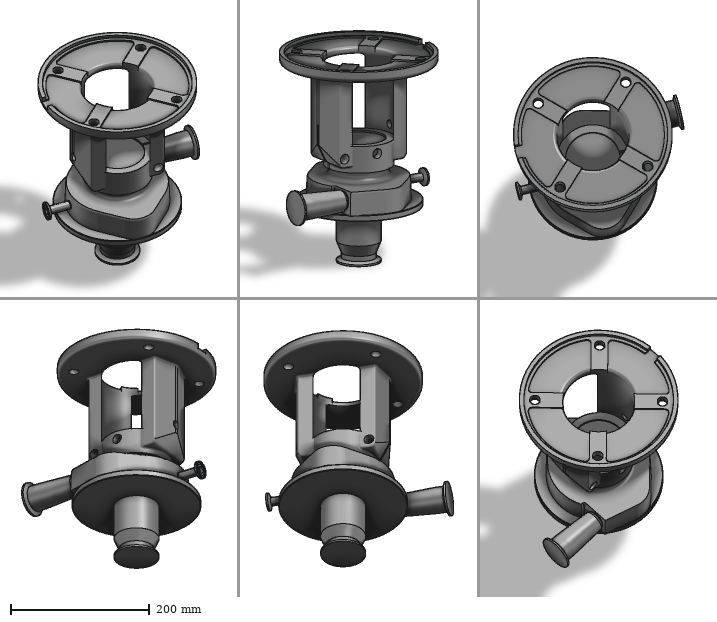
import cadquery as cq
import math

total_height = 314
plate_bottom = 297.5
collar_top = 185.3
collar_bottom = 145.5
casing_top = 129.0
casing_bottom = 93.5
base_bottom = 84.0

plate_radius = 115.0
plate_edge_fillet = 6.3
rim_inner_radius = 108.3
spoke_level = 309.0
pocket_level = 306.5
pocket_radius = 103.5
pocket_corner_fillet = 6.3
spoke_width = 24.5
bore_radius = 52.0
bore_edge_fillet = 5.5
notch_width = 20.0
bolt_circle_radius = 92.3
bolt_hole_radius = 7.5

leg_half_width = 38.5
leg_shoulder = 57.8
leg_ridge = 69.7
ridge_width = 5.3
leg_bottom = 154.5
slope_top = 184.0
slope_angle = 27
leg_toe_fillet = 9.5
leg_edge_fillet = 2.5
leg_root_fillet = 5.0
collar_root_fillet = 3
peep_hole_radius = 6.3
peep_hole_level = 197.8

collar_radius = 51.2
shaft_radius = 39.5
shaft_recess = 2.8
slit_width = 3
slit_top = 213.5
screw_hole_radius = 7.2
screw_hole_offset = 48.0
screw_hole_level = 168.3
side_hole_level = 172.7
neck_radius = 44
neck_fillet = 9.7

lobe_offset = 58.5
lobe_radius = 35.0
tangent_angle = 45
casing_radius = lobe_offset * math.cos(math.radians(tangent_angle)) + lobe_radius
casing_back = 62.8
outlet_wall_end = -34.5
outlet_wall_angle = 15
casing_draft = 2
casing_chamfer_height = 3
casing_chamfer_run = 1.0
base_radius = 93.3
base_chamfer = 1.0

inlet_radius = 25.5
inlet_wide_radius = 32.5
inlet_cone_start = 13.5
inlet_cone_end = 30.8
outlet_radius = 19.0
outlet_root_radius = 16.0
outlet_flange_radius = 25.5
outlet_end = 144.0
outlet_level = 113
outlet_straight = 19.8
outlet_root = 66.5
outlet_foot_radius = 13.5
drain_radius = 6.3
drain_flange_radius = 13.2
drain_bore_radius = 5.0
drain_end = 112.5
drain_level = 110.2
drain_groove_radius = 9.7
drain_groove_size = 1.3
ferrule_rim = 2.8
ferrule_height = 5.5
pipe_embed = 3

pick_margin = 0.3


def cylinder(radius, bottom, top):
    return cq.Workplane("XY").workplane(offset=bottom).circle(radius).extrude(top - bottom)


def polar(radius, angle, center_x=0):
    """Point at an angle (degrees) on a circle centred on the X axis."""
    turn = math.radians(angle)
    return (center_x + radius * math.cos(turn), radius * math.sin(turn))


def ferrule_profile(tube_radius, flange_radius):
    """Radius and axial points of a clamp ferrule, from the end face to the tube."""
    return [
        (0, 0),
        (flange_radius, 0),
        (flange_radius, ferrule_rim),
        (tube_radius, ferrule_height),
    ]


def revolve_profile(profile):
    """Solid of revolution about the Z axis from (radius, height) points."""
    return cq.Workplane("XZ").polyline(profile).close().revolve(360, (0, 0), (0, 1))


def make_plate():
    plate = cylinder(plate_radius, plate_bottom, total_height)
    return plate.faces("<Z").edges().fillet(plate_edge_fillet)


def make_legs():
    """Both legs as one block across the axis; the bore later parts them."""
    half_ridge = ridge_width / 2
    leg = (
        cq.Workplane("XY")
        .workplane(offset=leg_bottom)
        .polyline([
            (-leg_half_width, 0),
            (leg_half_width, 0),
            (leg_half_width, leg_shoulder),
            (half_ridge, leg_ridge),
            (-half_ridge, leg_ridge),
            (-leg_half_width, leg_shoulder),
        ])
        .close()
        .extrude(plate_bottom - leg_bottom)
    )
    slope_run = (slope_top - leg_bottom) * math.tan(math.radians(slope_angle))
    toe_cut = (
        cq.Workplane("YZ")
        .polyline([
            (leg_ridge, slope_top),
            (leg_ridge - slope_run, leg_bottom),
            (leg_ridge + slope_run, leg_bottom),
            (leg_ridge + slope_run, slope_top),
        ])
        .close()
        .extrude(leg_half_width, both=True)
    )
    leg = leg.cut(toe_cut)
    leg = leg.faces("<Z").edges(">Y").fillet(leg_toe_fillet)
    leg = leg.faces("<X or >X").edges("not(<Y or >Z)").fillet(leg_edge_fillet)
    return leg.union(leg.mirror("XZ"))


def make_sectors(bottom, top):
    """Four sectors of the pocket disc, parted by two crossing spokes."""
    sectors = cylinder(pocket_radius, bottom, top)
    for angle in (45, 135):
        spoke = (
            cq.Workplane("XY")
            .workplane(offset=bottom)
            .transformed(rotate=(0, 0, angle))
            .rect(2 * plate_radius, spoke_width)
            .extrude(top - bottom)
        )
        sectors = sectors.cut(spoke)
    outer_corners = sectors.edges("|Z").filter(
        lambda edge: math.hypot(edge.Center().x, edge.Center().y) > bore_radius
    )
    return outer_corners.fillet(pocket_corner_fillet)


def make_bore_rounding():
    """Material to remove where each pocket floor rolls over into the bore."""
    outer = bore_radius + bore_edge_fillet
    bottom = pocket_level - bore_edge_fillet
    ring = cylinder(outer, bottom, pocket_level)
    torus_core = (
        cq.Workplane("XZ")
        .moveTo(outer, bottom)
        .circle(bore_edge_fillet)
        .revolve(360, (0, 0), (0, 1))
    )
    return ring.cut(torus_core).intersect(make_sectors(bottom, pocket_level))


def make_yoke():
    """Mounting plate with two legs, bored down to the collar."""
    yoke = make_plate().union(make_legs())
    leg_roots = cq.selectors.BoxSelector(
        (-leg_half_width - pick_margin, -leg_ridge - pick_margin, plate_bottom - pick_margin),
        (leg_half_width + pick_margin, leg_ridge + pick_margin, plate_bottom + pick_margin),
    )
    yoke = yoke.edges(leg_roots).fillet(leg_root_fillet)

    yoke = yoke.cut(cylinder(rim_inner_radius, spoke_level, total_height))
    yoke = yoke.cut(make_sectors(pocket_level, spoke_level)).cut(make_bore_rounding())
    notch = cq.Workplane("XY").box(
        notch_width, plate_radius - bore_radius - bore_edge_fillet, total_height - pocket_level,
        centered=(True, False, False),
    )
    yoke = yoke.cut(notch.translate((0, -plate_radius, pocket_level)))
    bolt_holes = (
        cq.Workplane("XY")
        .workplane(offset=plate_bottom)
        .polarArray(bolt_circle_radius, 45, 360, 4)
        .circle(bolt_hole_radius)
        .extrude(total_height - plate_bottom)
    )
    return yoke.cut(bolt_holes).cut(cylinder(bore_radius, collar_top, total_height))


def make_clamp():
    """Yoke joined to the split collar, with its screw and locating holes."""
    clamp = make_yoke().union(cylinder(collar_radius, collar_bottom, collar_top))
    collar_roots = cq.selectors.BoxSelector(
        (-leg_half_width - pick_margin, -collar_radius - pick_margin, leg_bottom - pick_margin),
        (leg_half_width + pick_margin, collar_radius + pick_margin, collar_top - pick_margin),
    )
    clamp = clamp.edges(collar_roots).fillet(collar_root_fillet)

    clamp = clamp.cut(cylinder(shaft_radius, collar_top - shaft_recess, collar_top))
    slit = cq.Workplane("XY").box(
        slit_width, leg_ridge - shaft_radius, slit_top - collar_bottom, centered=(True, False, False)
    )
    clamp = clamp.cut(slit.translate((0, shaft_radius, collar_bottom)))
    screw_hole = (
        cq.Workplane("YZ")
        .center(screw_hole_offset, screw_hole_level)
        .circle(screw_hole_radius)
        .extrude(collar_radius, both=True)
    )
    side_hole = (
        cq.Workplane("YZ")
        .workplane(offset=-collar_radius)
        .center(0, side_hole_level)
        .circle(screw_hole_radius)
        .extrude(collar_radius - shaft_radius)
    )
    peep_hole = (
        cq.Workplane("XZ")
        .center(0, peep_hole_level)
        .circle(peep_hole_radius)
        .extrude(leg_ridge)
    )
    return clamp.cut(screw_hole).cut(side_hole).cut(peep_hole)


def make_casing():
    """Round chamber with a lobe on each side; the left one runs back to the outlet wall,
    which ends in a short step out to the round chamber.
    """
    wall_start = polar(lobe_radius, 180 - outlet_wall_angle, -lobe_offset)
    wall_run = (casing_back - wall_start[1]) * math.tan(math.radians(outlet_wall_angle))
    back_corner = (wall_start[0] + wall_run, casing_back)
    front_left = 180 + tangent_angle
    front_right = 360 - tangent_angle
    step_top = (outlet_wall_end, math.sqrt(casing_radius**2 - outlet_wall_end**2))
    casing = (
        cq.Workplane("XY")
        .workplane(offset=casing_bottom)
        .moveTo(*back_corner)
        .lineTo(*wall_start)
        .threePointArc(
            polar(lobe_radius, 180, -lobe_offset), polar(lobe_radius, front_left, -lobe_offset)
        )
        .lineTo(*polar(casing_radius, front_left))
        .threePointArc(polar(casing_radius, 270), polar(casing_radius, front_right))
        .lineTo(*polar(lobe_radius, front_right, lobe_offset))
        .threePointArc(
            polar(lobe_radius, 0, lobe_offset), polar(lobe_radius, tangent_angle, lobe_offset)
        )
        .lineTo(*polar(casing_radius, tangent_angle))
        .threePointArc(polar(casing_radius, 90), step_top)
        .lineTo(outlet_wall_end, casing_back)
        .close()
        .extrude(casing_top - casing_bottom, taper=casing_draft)
    )
    return casing.faces(">Z").edges("not(|X or |Y)").chamfer(casing_chamfer_height, casing_chamfer_run)


def make_neck():
    """Shaft neck that flares into the casing top."""
    flare_radius = neck_radius + neck_fillet
    middle = neck_fillet * (1 - math.cos(math.radians(45)))
    return (
        cq.Workplane("XZ")
        .moveTo(0, casing_top)
        .lineTo(flare_radius, casing_top)
        .threePointArc(
            (neck_radius + middle, casing_top + middle), (neck_radius, casing_top + neck_fillet)
        )
        .lineTo(neck_radius, collar_bottom)
        .lineTo(0, collar_bottom)
        .close()
        .revolve(360, (0, 0), (0, 1))
    )


def make_inlet():
    return revolve_profile(
        ferrule_profile(inlet_radius, inlet_wide_radius)
        + [
            (inlet_radius, inlet_cone_start),
            (inlet_wide_radius, inlet_cone_end),
            (inlet_wide_radius, base_bottom),
            (0, base_bottom),
        ]
    )


def make_outlet():
    """Tapered pipe pointing toward +Y from the left lobe."""
    foot = outlet_end - casing_back + pipe_embed
    pipe = revolve_profile(
        ferrule_profile(outlet_radius, outlet_flange_radius)
        + [
            (outlet_radius, outlet_straight),
            (outlet_root_radius, outlet_end - outlet_root),
            (outlet_foot_radius, outlet_end - casing_back),
            (outlet_foot_radius, foot),
            (0, foot),
        ]
    )
    return pipe.rotate((0, 0, 0), (1, 0, 0), 90).translate((-lobe_offset, outlet_end, outlet_level))


def make_drain():
    """Small pipe pointing toward -Y, with a blind bore and a seal groove in its end."""
    depth = drain_end - casing_radius
    foot = depth + pipe_embed
    pipe = revolve_profile(
        ferrule_profile(drain_radius, drain_flange_radius) + [(drain_radius, foot), (0, foot)]
    )
    groove = (
        cq.Workplane("XZ")
        .moveTo(drain_groove_radius, 0)
        .circle(drain_groove_size)
        .revolve(360, (0, 0), (0, 1))
    )
    pipe = pipe.cut(groove).cut(cylinder(drain_bore_radius, 0, depth))
    return pipe.rotate((0, 0, 0), (1, 0, 0), -90).translate((0, -drain_end, drain_level))


base = cylinder(base_radius, base_bottom, casing_bottom).edges().chamfer(base_chamfer)

result = (
    base
    .union(make_casing())
    .union(make_neck())
    .union(make_inlet())
    .union(make_outlet())
    .union(make_drain())
    .union(make_clamp())
)